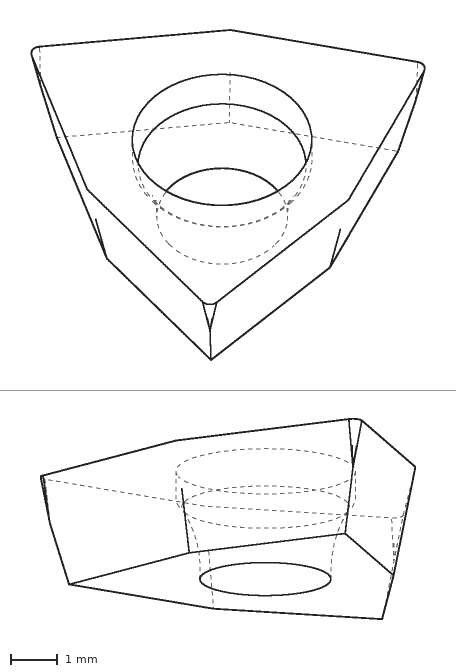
import cadquery as cq
import math

thickness = 2.38
inscribed_diameter = 6.35
corner_angle = 80
clearance_angle = 11
nose_radius = 0.2

mouth_diameter = 3.835
mouth_depth = 0.565
seat_diameter = 3.585
seat_depth = 0.79
bore_diameter = 2.8
bore_start_depth = 2.15

clearance_slope = math.tan(math.radians(clearance_angle))
nose_depth = nose_radius / clearance_slope
sharp_inradius = inscribed_diameter / 2 - nose_radius


def trigon_points(inradius):
    """Six vertices of a trigon: three sharp corners alternating with three blunt ones."""
    half_corner = math.radians(corner_angle / 2)
    sharp_distance = inradius / math.sin(half_corner)
    blunt_distance = inradius / math.cos(half_corner - math.radians(30))
    first_sharp_angle = 180 + corner_angle / 2
    points = []
    for index in range(6):
        distance = sharp_distance if index % 2 == 0 else blunt_distance
        angle = math.radians(first_sharp_angle + 60 * index)
        points.append((distance * math.cos(angle), distance * math.sin(angle)))
    return points


def make_body():
    """Widen upwards with conical vertices, and narrow downwards with sharp ones."""
    nose_plane = cq.Workplane("XY", origin=(0, 0, -nose_depth))
    sharp_outline = trigon_points(sharp_inradius)
    upper = nose_plane.polyline(sharp_outline).close().extrude(nose_depth, taper=-clearance_angle)
    lower = nose_plane.polyline(sharp_outline).close().extrude(nose_depth - thickness, taper=clearance_angle)
    return upper.union(lower)


def make_hole():
    """Revolve a straight mouth, a rounded step, a convex seat and a straight bore."""
    mouth_radius = mouth_diameter / 2
    seat_radius = seat_diameter / 2
    bore_radius = bore_diameter / 2
    seat_inset = seat_radius - bore_radius
    seat_height = bore_start_depth - seat_depth
    seat_arc_radius = (seat_inset**2 + seat_height**2) / (2 * seat_inset)
    return (
        cq.Workplane("XZ")
        .lineTo(mouth_radius, 0)
        .lineTo(mouth_radius, -mouth_depth)
        .tangentArcPoint((seat_radius, -seat_depth), relative=False)
        .radiusArc((bore_radius, -bore_start_depth), -seat_arc_radius)
        .lineTo(bore_radius, -thickness)
        .lineTo(0, -thickness)
        .close()
        .revolve(360, (0, 0, 0), (0, 1, 0))
    )


result = make_body().cut(make_hole())